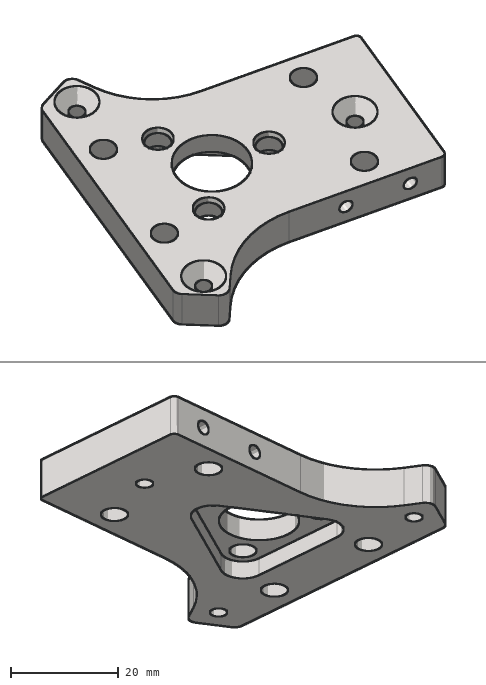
import cadquery as cq
import math

overall_width = 64.15
thickness = 8.0
neck_half_width = 18.0
top_edge = 40.05
bottom_edge = -21.8
arm_half_width = 5.0
arm_angle = math.radians(210)
neck_fillet = 20.0
arm_fillet = 2.0
top_fillet = 1.0
tip_centre_x = overall_width / 2 - arm_fillet
tip_centre_across = arm_half_width - arm_fillet
arm_reach = arm_fillet - (tip_centre_x + tip_centre_across * math.sin(arm_angle)) / math.cos(arm_angle)

bore_diameter = 15.0
plain_diameter = 5.1
plain_x = 12.5
plain_upper_y = 25.6
plain_lower_y = -16.35
chamfered_diameter = 5.1
chamfered_mouth = 5.9
chamfered_cone_angle = 45
chamfered_circle_radius = 12.0
screw_diameter = 3.2
screw_mouth = 8.4
screw_cone_angle = 90
screw_circle_radius = 30.0
side_diameter = 2.75
side_depth = 7.7
side_positions = (32.4, 18.9)
trio_angles = (90, 210, 330)

pocket_depth = 3.6
pocket_wall_distance = 10.2
pocket_corner_radius = pocket_wall_distance - chamfered_circle_radius / 2


def arm_point(along, across):
    """Point on the left arm; positive across is towards its upper flank."""
    x = along * math.cos(arm_angle) + across * math.sin(arm_angle)
    y = along * math.sin(arm_angle) - across * math.cos(arm_angle)
    return x, y


def mirrored(points):
    return [(-x, y) for x, y in points]


def plate():
    arm_slope = math.tan(arm_angle)
    tip = arm_point(arm_reach, arm_half_width)
    neck_root = (-neck_half_width, tip[1] + arm_slope * (-neck_half_width - tip[0]))
    foot = (tip[0] + (tip[1] - bottom_edge) * arm_slope, bottom_edge)
    top_corner = (-neck_half_width, top_edge)

    left_side = [top_corner, neck_root, tip, foot]
    right_side = mirrored(reversed(left_side))
    body = cq.Workplane("XY").polyline(left_side + right_side).close().extrude(thickness)

    corner_fillets = (
        (top_corner, top_fillet),
        (neck_root, neck_fillet),
        (tip, arm_fillet),
        (foot, arm_fillet),
    )
    for corner, radius in corner_fillets:
        for x, y in [corner] + mirrored([corner]):
            edge = cq.selectors.NearestToPointSelector((x, y, thickness / 2))
            body = body.edges("|Z").edges(edge).fillet(radius)
    return body


def trio(circle_radius):
    """Three evenly spaced points around the main bore."""
    angles = [math.radians(angle) for angle in trio_angles]
    return [(circle_radius * math.cos(a), circle_radius * math.sin(a)) for a in angles]


def cut_countersunk(body, points, diameter, mouth, cone_angle):
    top = body.faces(">Z").workplane(origin=(0, 0, thickness))
    return top.pushPoints(points).cskHole(diameter, mouth, cone_angle)


def cut_through(body, points, diameter):
    return body.faces(">Z").workplane(origin=(0, 0, thickness)).pushPoints(points).hole(diameter)


def cut_pocket(body):
    corners = trio(2 * pocket_wall_distance)
    pocket = cq.Workplane("XY").polyline(corners).close().extrude(pocket_depth)
    return body.cut(pocket.edges("|Z").fillet(pocket_corner_radius))


def cut_side_holes(body):
    """Blind holes into both straight flanks of the neck."""
    for side in (-1, 1):
        for y in side_positions:
            start = cq.Vector(side * neck_half_width, y, thickness / 2)
            inward = cq.Vector(-side, 0, 0)
            body = body.cut(cq.Solid.makeCylinder(side_diameter / 2, side_depth, start, inward))
    return body


plain_points = [(x, y) for x in (-plain_x, plain_x) for y in (plain_lower_y, plain_upper_y)]

result = plate()
result = cut_through(result, [(0, 0)], bore_diameter)
result = cut_through(result, plain_points, plain_diameter)
result = cut_countersunk(result, trio(chamfered_circle_radius), chamfered_diameter, chamfered_mouth,
                         chamfered_cone_angle)
result = cut_countersunk(result, trio(screw_circle_radius), screw_diameter, screw_mouth, screw_cone_angle)
result = cut_pocket(result)
result = cut_side_holes(result)